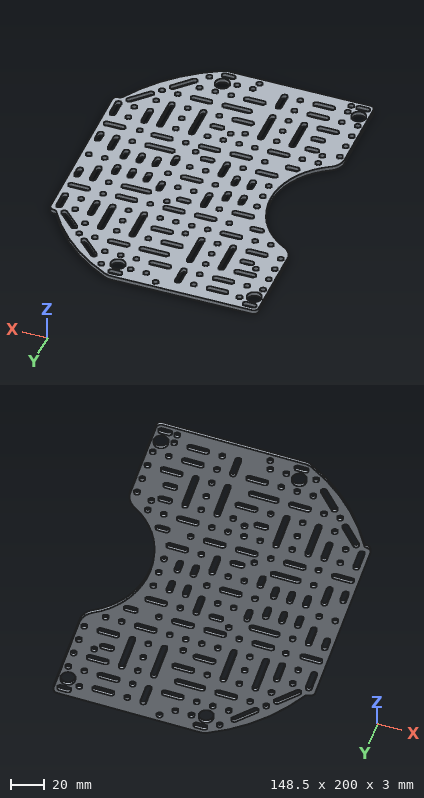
import cadquery as cq
import math

length_x = 148.5
width_y = 200
thickness = 3.0
half_width = width_y / 2

pitch = 10
first_column_x = 3.5
hole_diameter = 3.5


def column_x(column):
    return first_column_x + pitch * column


def row_y(row):
    return pitch * row


corner_radius = 3.0
notch_radius = 45.0
notch_center_x = column_x(-2)
notch_blend_radius = 10
rim_radius = 110
rim_center_x = column_x(4.5)
rim_blend_radius = 10
right_edge_half_width = 55.0
rim_end_fillet_radius = 2.5

mount_diameter = 9.0
mount_y = 88.2
mount_xs = (6, 92.2)

edge_row_y = 95.8
edge_slots = [(0, 0.5), (8.5, 9)]

mirrored_holes = {
    1: [3, 7, 8],
    2: [5, 12],
    3: [4, 9],
    4: [1, 2, 5, 6, 7, 8, 10, 13],
    5: [0, 4, 10, 13],
    6: [0, 4, 8, 10, 12],
    7: [0, 4, 11, 12],
    8: [0, 1, 4, 8, 9, 10],
    9: [4, 7, 8],
}

single_holes = {
    0: [3, 6, 9, 13, 14],
    -5: [6],
    -9: [1],
}

mirrored_x_slots = {
    2: [(3, 4), (7, 7.5), (9.5, 11)],
    3: [(2, 2.5), (5, 6), (7, 8), (10, 11), (13, 14)],
    4: [(3, 4)],
    6: [(1.5, 2), (6, 7)],
    7: [(1, 2), (6.5, 8), (9, 10)],
    8: [(2, 3), (6, 7)],
    9: [(2, 3)],
}

single_x_slots = {
    0: [(7, 8)],
    5: [(1, 2), (7, 8)],
    -5: [(1.5, 2), (7.5, 8)],
}

mirrored_y_slots = {
    3: [(5, 7)],
    4: [(0.5, 1)],
    5: [(0.5, 1), (5, 7), (8, 9)],
    6: [(1, 2)],
    9: [(1, 1.5), (4, 6)],
    10: [(0.5, 1)],
    11: [(0.5, 1), (4, 6)],
    12: [(0.5, 1), (4, 5)],
    13: [(1, 2)],
    14: [(1.5, 2), (4, 5)],
}

diagonal_slots = [((10.5, 8.5), (11.5, 7.5)), ((12.5, 6.5), (13.5, 5.5))]

mirrored_off_grid_holes = [(101.5, 91.5), (123.0, 31.0), (85.2, 24.2)]
single_off_grid_holes = [
    (14.2, 91.5),
    (65.5, edge_row_y),
    (14.2, 63.5),
    (64.5, 48),
    (column_x(1), -47.0),
    (71.5, -47.0),
    (column_x(1), -edge_row_y),
    (71.5, -edge_row_y),
]


def make_plate():
    """Plate with a round notch on the left and curved rims towards the right edge."""
    blend_center_dx = notch_blend_radius - notch_center_x
    blend_center_distance = notch_radius + notch_blend_radius
    blend_center_y = math.sqrt(blend_center_distance**2 - blend_center_dx**2)
    notch_share = notch_radius / blend_center_distance
    notch_end_x = notch_center_x + notch_share * blend_center_dx
    notch_end_y = notch_share * blend_center_y
    to_notch = math.atan2(-blend_center_y, -blend_center_dx)
    blend_mid_angle = (to_notch - math.pi) / 2
    blend_mid_x = notch_blend_radius + notch_blend_radius * math.cos(blend_mid_angle)
    blend_mid_y = blend_center_y + notch_blend_radius * math.sin(blend_mid_angle)

    rim_start_angle = math.asin(half_width / rim_radius)
    rim_end_angle = math.asin(right_edge_half_width / rim_radius)
    rim_mid_angle = (rim_start_angle + rim_end_angle) / 2
    rim_start_x = rim_center_x + rim_radius * math.cos(rim_start_angle)
    rim_end_x = rim_center_x + rim_radius * math.cos(rim_end_angle)
    rim_mid_x = rim_center_x + rim_radius * math.cos(rim_mid_angle)
    rim_mid_y = rim_radius * math.sin(rim_mid_angle)

    plate = (
        cq.Workplane("XY")
        .moveTo(0, blend_center_y)
        .lineTo(0, half_width)
        .lineTo(rim_start_x, half_width)
        .threePointArc((rim_mid_x, rim_mid_y), (rim_end_x, right_edge_half_width))
        .lineTo(length_x, right_edge_half_width)
        .lineTo(length_x, -right_edge_half_width)
        .lineTo(rim_end_x, -right_edge_half_width)
        .threePointArc((rim_mid_x, -rim_mid_y), (rim_start_x, -half_width))
        .lineTo(0, -half_width)
        .lineTo(0, -blend_center_y)
        .threePointArc((blend_mid_x, -blend_mid_y), (notch_end_x, -notch_end_y))
        .threePointArc((notch_center_x + notch_radius, 0), (notch_end_x, notch_end_y))
        .threePointArc((blend_mid_x, blend_mid_y), (0, blend_center_y))
        .close()
        .extrude(thickness)
    )

    def edges_at(x, y):
        upper_edge = cq.selectors.NearestToPointSelector((x, y, thickness / 2))
        lower_edge = cq.selectors.NearestToPointSelector((x, -y, thickness / 2))
        return plate.edges(upper_edge + lower_edge)

    plate = edges_at(0, half_width).fillet(corner_radius)
    plate = edges_at(length_x, right_edge_half_width).fillet(corner_radius)
    plate = edges_at(rim_start_x, half_width).fillet(rim_blend_radius)
    return edges_at(rim_end_x, right_edge_half_width).fillet(rim_end_fillet_radius)


def mirrored(points):
    """The points together with their mirror images about the centre line."""
    return points + [(x, -y) for x, y in points]


def grid_points(columns_by_row):
    return [
        (column_x(column), row_y(row))
        for row, columns in columns_by_row.items()
        for column in columns
    ]


def mirrored_spans(spans):
    """Pairs of slot end points together with their mirror images."""
    return spans + [((x1, -y1), (x2, -y2)) for (x1, y1), (x2, y2) in spans]


def x_slot_spans(columns_by_row):
    return [
        ((column_x(first), row_y(row)), (column_x(last), row_y(row)))
        for row, slots in columns_by_row.items()
        for first, last in slots
    ]


def y_slot_spans(rows_by_column):
    return [
        ((column_x(column), row_y(first)), (column_x(column), row_y(last)))
        for column, slots in rows_by_column.items()
        for first, last in slots
    ]


def hole_cutter(points, diameter):
    return cq.Workplane("XY").pushPoints(points).circle(diameter / 2).extrude(thickness)


def slot_cutter(start, end):
    """Round-ended slot whose end centres are the two given points."""
    run_x = end[0] - start[0]
    run_y = end[1] - start[1]
    middle = ((start[0] + end[0]) / 2, (start[1] + end[1]) / 2)
    slot_length = math.hypot(run_x, run_y) + hole_diameter
    angle = math.degrees(math.atan2(run_y, run_x))
    return cq.Workplane("XY").center(*middle).slot2D(slot_length, hole_diameter, angle).extrude(thickness)


small_holes = (
    mirrored(grid_points(mirrored_holes))
    + grid_points(single_holes)
    + mirrored(mirrored_off_grid_holes)
    + single_off_grid_holes
)
mount_holes = mirrored([(x, mount_y) for x in mount_xs])

edge_spans = [((column_x(first), edge_row_y), (column_x(last), edge_row_y)) for first, last in edge_slots]
diagonal_spans = [
    ((column_x(column_1), row_y(row_1)), (column_x(column_2), row_y(row_2)))
    for (column_1, row_1), (column_2, row_2) in diagonal_slots
]
slot_spans = x_slot_spans(single_x_slots) + mirrored_spans(
    x_slot_spans(mirrored_x_slots) + y_slot_spans(mirrored_y_slots) + edge_spans + diagonal_spans
)

cutters = hole_cutter(small_holes, hole_diameter).vals()
cutters += hole_cutter(mount_holes, mount_diameter).vals()
cutters += [slot_cutter(start, end).val() for start, end in slot_spans]

result = cq.Workplane("XY").newObject([make_plate().val().cut(*cutters)])